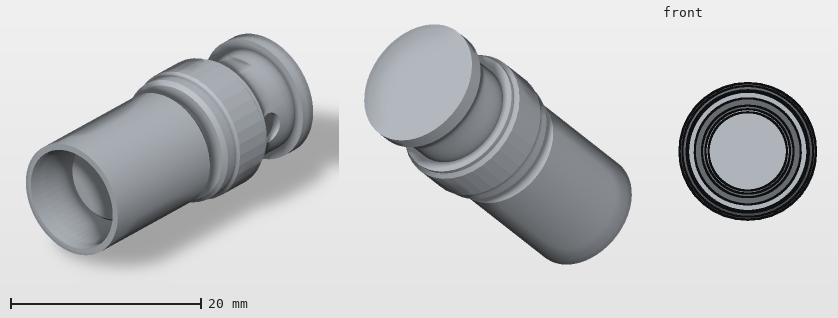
import cadquery as cq
import math

LENGTH = 31.7

FLANGE_RADIUS = 6.75
FLANGE_END = 1.68
BARREL_RADIUS = 5.67
BARREL_END = 7.67
COLLAR_END = 8.18
GRIP_RADIUS = 7.2
GRIP_FACETS = 36
GRIP_END = 12.9
GRIP_FRONT_CHAMFER = 0.38
REAR_RING_RADIUS = 6.88
GRIP_REAR_CHAMFER = GRIP_RADIUS - REAR_RING_RADIUS
REAR_RING_CHAMFER = 0.45
NUT_END = 14.68

FLAT_FRONT = 3.95
FLAT_LENGTH = 2.28
FLAT_DEPTH = 0.25

LOCK_HOLE_RADIUS = 1.7
LOCK_HOLE_DEPTH = 0.95
LOCK_HOLE_STATION = 5.85

NECK_RADIUS = 4.9
NECK_END = 15.12
SLEEVE_RADIUS = 6.28
BORE_RADIUS = 5.58
CONE_END = NECK_END + (SLEEVE_RADIUS - NECK_RADIUS)
BORE_FLOOR = CONE_END
STEP_RADIUS = 4.82
STEP_HEIGHT = 0.63
POST_RADIUS = 4.45
POST_CHAMFER = 0.32
POST_END = 26.6


def turned(profile):
    """Revolve a (radius, station) outline, closed along the axis, about Y."""
    points = [(LENGTH - station, radius) for radius, station in profile]
    return cq.Workplane("YZ").polyline(points).close().revolve(360, (0, 0, 0), (1, 0, 0))


def grip_prism():
    """Many-sided prism that gives the grip its flat facets, with a corner at the top."""
    corners = [
        (
            GRIP_RADIUS * math.cos(2 * math.pi * i / GRIP_FACETS),
            GRIP_RADIUS * math.sin(2 * math.pi * i / GRIP_FACETS),
        )
        for i in range(GRIP_FACETS)
    ]
    front = cq.Workplane("XZ", origin=(0, LENGTH - COLLAR_END, 0))
    return front.polyline(corners).close().extrude(GRIP_END - COLLAR_END)


def faceted_grip():
    """Faceted grip ring with both ends turned down to chamfers."""
    front_radius = GRIP_RADIUS - GRIP_FRONT_CHAMFER
    blank = turned([
        (0, COLLAR_END),
        (front_radius, COLLAR_END),
        (GRIP_RADIUS, COLLAR_END + GRIP_FRONT_CHAMFER),
        (GRIP_RADIUS, GRIP_END - GRIP_REAR_CHAMFER),
        (REAR_RING_RADIUS, GRIP_END),
        (0, GRIP_END),
    ])
    return blank.intersect(grip_prism())


def flat_recess():
    """Block that cuts a flat-bottomed recess into the top of the barrel."""
    return cq.Workplane("XY").box(
        2 * BARREL_RADIUS, FLAT_LENGTH, 2 * FLAT_DEPTH
    ).translate((0, LENGTH - FLAT_FRONT - FLAT_LENGTH / 2, BARREL_RADIUS))


def lock_hole():
    """Cylinder that cuts the blind hole into the +X side of the barrel."""
    floor = cq.Workplane("YZ", origin=(BARREL_RADIUS - LOCK_HOLE_DEPTH, LENGTH - LOCK_HOLE_STATION, 0))
    return floor.circle(LOCK_HOLE_RADIUS).extrude(2 * LOCK_HOLE_DEPTH)


def make_coupling_nut():
    front_part = turned([
        (0, 0),
        (FLANGE_RADIUS, 0),
        (FLANGE_RADIUS, FLANGE_END),
        (BARREL_RADIUS, FLANGE_END),
        (BARREL_RADIUS, BARREL_END),
        (FLANGE_RADIUS, BARREL_END),
        (FLANGE_RADIUS, COLLAR_END),
        (0, COLLAR_END),
    ])
    rear_ring = turned([
        (0, GRIP_END),
        (REAR_RING_RADIUS, GRIP_END),
        (REAR_RING_RADIUS, NUT_END - REAR_RING_CHAMFER),
        (REAR_RING_RADIUS - REAR_RING_CHAMFER, NUT_END),
        (0, NUT_END),
    ])
    front_part = front_part.cut(flat_recess()).cut(lock_hole())
    return front_part.union(faceted_grip()).union(rear_ring)


def make_crimp_body():
    """Neck, cone and open sleeve, with a stepped post standing on the bore floor."""
    return turned([
        (0, NUT_END),
        (NECK_RADIUS, NUT_END),
        (NECK_RADIUS, NECK_END),
        (SLEEVE_RADIUS, CONE_END),
        (SLEEVE_RADIUS, LENGTH),
        (BORE_RADIUS, LENGTH),
        (BORE_RADIUS, BORE_FLOOR),
        (STEP_RADIUS, BORE_FLOOR),
        (STEP_RADIUS, BORE_FLOOR + STEP_HEIGHT),
        (POST_RADIUS, BORE_FLOOR + STEP_HEIGHT),
        (POST_RADIUS, POST_END - POST_CHAMFER),
        (POST_RADIUS - POST_CHAMFER, POST_END),
        (0, POST_END),
    ])


coupling_nut = make_coupling_nut()
crimp_body = make_crimp_body()

result = cq.Compound.makeCompound([coupling_nut.val(), crimp_body.val()])